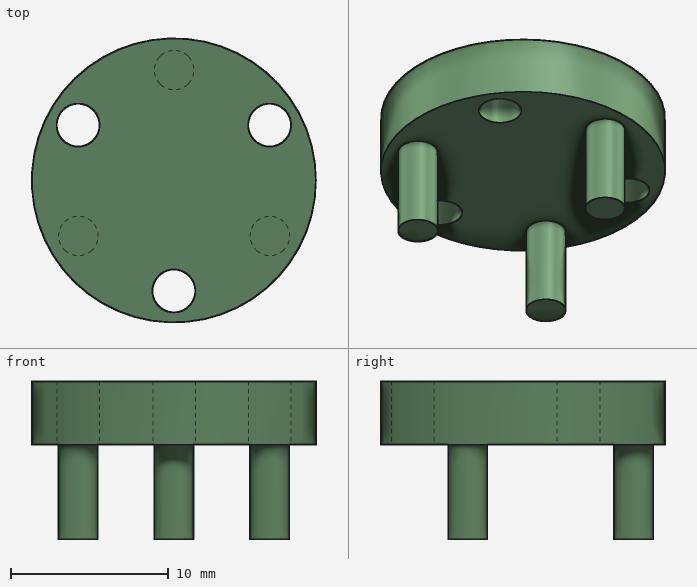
import cadquery as cq

disc_diameter = 18.0
disc_thickness = 4.0
pitch_radius = 7.0
hole_diameter = 2.7
pin_diameter = 2.5
pin_length = 6.0

feature_count = 3
hole_start_angle = 30.0
pin_start_angle = hole_start_angle + 180.0 / feature_count


def on_pitch_circle(workplane, start_angle):
    """Place evenly spaced points around the pitch circle."""
    return workplane.polarArray(pitch_radius, start_angle, 360.0, feature_count)


def make_disc():
    """Round plate with its underside on the XY plane."""
    return cq.Workplane("XY").circle(disc_diameter / 2).extrude(disc_thickness)


def add_pins(body):
    """Cylindrical pins hanging from the underside of the disc."""
    pins = on_pitch_circle(cq.Workplane("XY"), pin_start_angle)
    return body.union(pins.circle(pin_diameter / 2).extrude(-pin_length))


def cut_holes(body):
    """Plain holes through the full thickness of the disc."""
    holes = on_pitch_circle(cq.Workplane("XY"), hole_start_angle)
    return body.cut(holes.circle(hole_diameter / 2).extrude(disc_thickness))


result = cut_holes(add_pins(make_disc()))